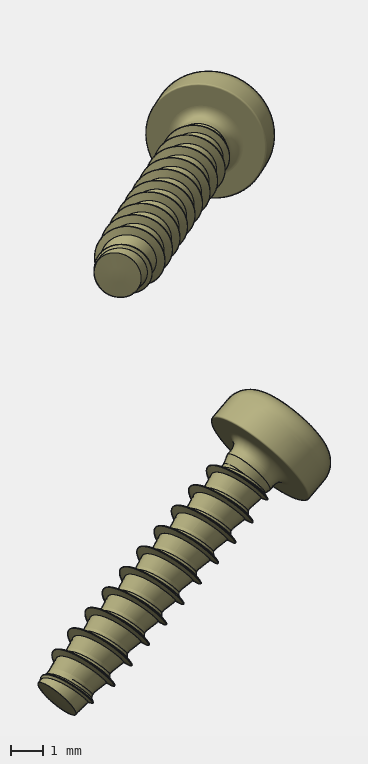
import cadquery as cq
import math


head_radius = 1.95
head_height = 1.6
head_crown_radius = 0.8
head_rim_radius = 0.05

shank_length = 10.0
neck_radius = 0.86
neck_fillet_radius = 0.35
neck_straight_end = 0.55
neck_cone_end = 0.9
neck_end_radius = 0.74
core_radius = 0.755
tip_cone_height = 0.03

pitch = 0.85
crest_radius = 1.1
crest_width = 0.03
flank_foot_radius = 0.85
head_flank_width = 0.085
tip_flank_width = 0.09
flare_width = 0.19
root_edge_offset = 0.3

start_turn = 0.45
emerging_turn = 0.65
emerging_radius = 0.95
run_in_end_turn = 1.65
run_out_start_turn = 10.25
end_turn = 11.75
rod_start_turn = -0.75
rod_turns = 14
points_per_turn = 24

half_profile_plane = cq.Plane(origin=(0, 0, 0), xDir=(0, 0, 1), normal=(-1, 0, 0))


def make_head_and_neck():
    """Head and neck, tapering down into the threaded rod, as one solid of revolution about Y."""
    diagonal = math.sqrt(0.5)
    crown_centre_r = head_radius - head_crown_radius
    crown_centre_y = head_height - head_crown_radius
    crown_mid = head_crown_radius * diagonal
    fillet_centre_r = neck_radius + neck_fillet_radius
    fillet_mid = neck_fillet_radius * diagonal
    rim_mid = head_rim_radius * (1 - diagonal)
    outline = (
        cq.Workplane(half_profile_plane)
        .moveTo(0, head_height)
        .lineTo(crown_centre_r, head_height)
        .threePointArc(
            (crown_centre_r + crown_mid, crown_centre_y + crown_mid),
            (head_radius, crown_centre_y),
        )
        .lineTo(head_radius, head_rim_radius)
        .threePointArc(
            (head_radius - rim_mid, rim_mid),
            (head_radius - head_rim_radius, 0),
        )
        .lineTo(fillet_centre_r, 0)
        .threePointArc(
            (fillet_centre_r - fillet_mid, fillet_mid - neck_fillet_radius),
            (neck_radius, -neck_fillet_radius),
        )
        .lineTo(neck_radius, -neck_straight_end)
        .lineTo(neck_end_radius, -neck_cone_end)
        .lineTo(0, -neck_cone_end)
        .close()
    )
    return outline.revolve(360, (0, 0, 0), (0, 1, 0))


def thread_fullness(turn):
    """Thread height at a turn as a fraction of the full height above the core."""
    emerging = (emerging_radius - core_radius) / (crest_radius - core_radius)
    if turn <= start_turn or turn >= end_turn:
        return 0.0
    if turn < emerging_turn:
        return emerging * (turn - start_turn) / (emerging_turn - start_turn)
    if turn < run_in_end_turn:
        progress = (turn - emerging_turn) / (run_in_end_turn - emerging_turn)
        return emerging + (1 - emerging) * progress
    if turn > run_out_start_turn:
        return (end_turn - turn) / (end_turn - run_out_start_turn)
    return 1.0


def helix_edge(from_turn, axial_offset, radius):
    """One turn of the helix through a profile corner, its height following the runout."""
    points = []
    for i in range(points_per_turn + 1):
        turn = from_turn + i / points_per_turn
        angle = 2 * math.pi * turn
        r = core_radius + (radius - core_radius) * thread_fullness(turn)
        y = -(pitch * turn + axial_offset)
        points.append(cq.Vector(r * math.cos(angle), y, r * math.sin(angle)))
    return cq.Edge.makeSpline(points)


def rod_end_faces(root_edge, profile_points):
    """Helicoid from one turn of the root to the axis, and the flat step that closes it."""
    axis_start = cq.Vector(0, root_edge.positionAt(0).y, 0)
    axis_end = cq.Vector(0, root_edge.positionAt(1).y, 0)
    helicoid = cq.Face.makeRuledSurface(root_edge, cq.Edge.makeLine(axis_start, axis_end))
    step = cq.Wire.makePolygon([axis_start, *profile_points, axis_end], close=True)
    return [helicoid, cq.Face.makeFromWires(step)]


def make_threaded_rod():
    """Core and thread in one: each turn's last root line is the next turn's first."""
    corners = [
        (-root_edge_offset, core_radius),
        (-flare_width, core_radius),
        (-head_flank_width, flank_foot_radius),
        (-crest_width / 2, crest_radius),
        (crest_width / 2, crest_radius),
        (tip_flank_width, flank_foot_radius),
    ]
    turns = [rod_start_turn + i for i in range(rod_turns)]
    edges = [helix_edge(turn, *corner) for turn in turns for corner in corners]
    edges.append(helix_edge(rod_start_turn + rod_turns, *corners[0]))

    faces = [cq.Face.makeRuledSurface(upper, lower) for upper, lower in zip(edges, edges[1:])]
    turn_edges = len(corners) + 1
    start_profile = [edge.positionAt(0) for edge in edges[:turn_edges]]
    end_profile = [edge.positionAt(1) for edge in edges[-turn_edges:]]
    faces += rod_end_faces(edges[0], start_profile)
    faces += rod_end_faces(edges[-1], end_profile)
    rod = cq.Solid.makeSolid(cq.Shell.makeShell(faces))
    return cq.Workplane(obj=cq.Shape.fix(rod))


def make_tip_cutter():
    """Everything beyond the shallow cone that ends the shank."""
    cone_slope = tip_cone_height / core_radius
    rim_y = cone_slope * head_radius - shank_length
    far_y = -2 * shank_length
    outline = (
        cq.Workplane(half_profile_plane)
        .moveTo(0, -shank_length)
        .lineTo(head_radius, rim_y)
        .lineTo(head_radius, far_y)
        .lineTo(0, far_y)
        .close()
    )
    return outline.revolve(360, (0, 0, 0), (0, 1, 0))


result = make_head_and_neck().union(make_threaded_rod()).cut(make_tip_cutter())